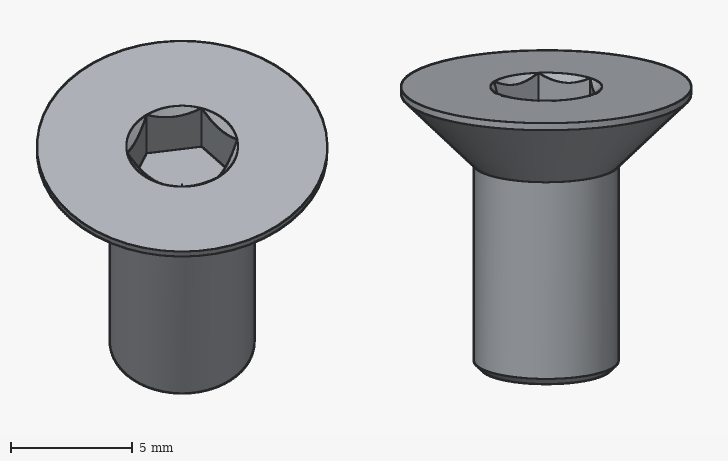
import cadquery as cq
import math

length = 12.0
head_radius = 6.0
shank_radius = 3.0

rim_height = 0.3
cone_height = head_radius - shank_radius
tip_chamfer = 0.31

socket_flats = 4.0
socket_depth = 2.3
socket_corners = socket_flats / math.cos(math.radians(30))
lead_in_slope = 45.0


def screw_body():
    """Revolved head, shank and chamfered tip, standing on Z = 0."""
    cone_top = length - rim_height
    profile = (
        cq.Workplane("XZ")
        .moveTo(0, 0)
        .lineTo(shank_radius - tip_chamfer, 0)
        .lineTo(shank_radius, tip_chamfer)
        .lineTo(shank_radius, cone_top - cone_height)
        .lineTo(head_radius, cone_top)
        .lineTo(head_radius, length)
        .lineTo(0, length)
        .close()
    )
    return profile.revolve(360, (0, 0, 0), (0, 1, 0))


def hex_socket():
    """Flat-bottomed hexagonal cavity."""
    return (
        cq.Workplane("XY")
        .workplane(offset=length - socket_depth)
        .transformed(rotate=(0, 0, 90))
        .polygon(6, socket_corners)
        .extrude(socket_depth)
    )


def socket_lead_in():
    """Conical countersink that just reaches the socket corners."""
    mouth_radius = socket_corners / 2
    cone_depth = mouth_radius * math.tan(math.radians(lead_in_slope))
    profile = (
        cq.Workplane("XZ")
        .moveTo(0, length)
        .lineTo(mouth_radius, length)
        .lineTo(0, length - cone_depth)
        .close()
    )
    return profile.revolve(360, (0, 0, 0), (0, 1, 0))


result = screw_body().cut(hex_socket()).cut(socket_lead_in())